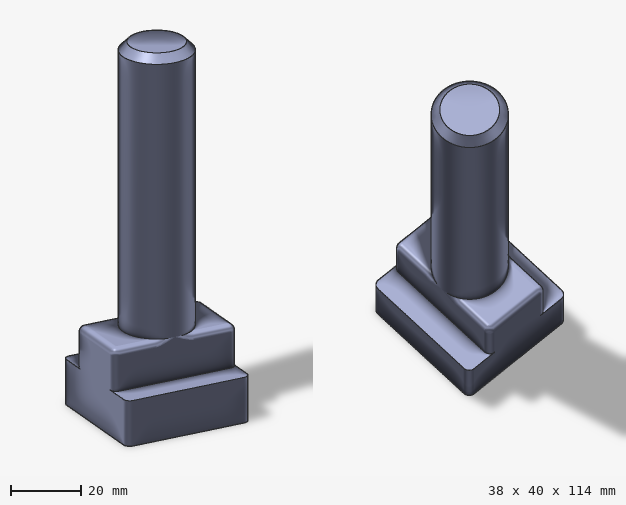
import cadquery as cq
import math

total_height = 114.0
head_width = 38.0
head_length = 40.0

flange_height = 14.0
head_height = 27.0
edge_radius = 2.0

shank_diameter = 22.0
shank_chamfer = 2.5
shank_radius = shank_diameter / 2
neck_width = shank_diameter

runout_end = math.sqrt(shank_radius**2 - (shank_radius - edge_radius) ** 2)
runout_sections = 8


def make_flange():
    """Wide lower step with rounded vertical corners."""
    flange = cq.Workplane("XY").rect(head_width, head_length).extrude(flange_height)
    return flange.edges("|Z").fillet(edge_radius)


def round_drop(y):
    """Height of the run-out's lower edge below the neck top at lengthwise position y.

    A ball of edge_radius rolls along the neck wall while touching the foot circle of the shank.
    """
    gap = shank_radius - math.sqrt(shank_radius**2 - y**2)
    return math.sqrt(max(0.0, edge_radius**2 - (edge_radius - gap) ** 2))


def make_runout_cutter():
    """Material outside the rounded edge from the shank's widest point to the run-out end."""
    wall_x = neck_width / 2
    outer_x = wall_x + edge_radius
    inner_x = wall_x - edge_radius
    sections = []
    for i in range(runout_sections + 1):
        y = runout_end * i / runout_sections
        low_z = head_height - round_drop(y)
        high_z = low_z + edge_radius
        cap_z = high_z + edge_radius
        start = cq.Vector(wall_x, y, low_z)
        middle = cq.Vector(
            inner_x + edge_radius * math.cos(math.pi / 4), y, low_z + edge_radius * math.sin(math.pi / 4)
        )
        end = cq.Vector(inner_x, y, high_z)
        arc = cq.Edge.makeThreePointArc(start, middle, end)
        cap_points = [
            end,
            cq.Vector(inner_x, y, cap_z),
            cq.Vector(outer_x, y, cap_z),
            cq.Vector(outer_x, y, low_z),
            start,
        ]
        lines = [cq.Edge.makeLine(a, b) for a, b in zip(cap_points, cap_points[1:])]
        sections.append(cq.Wire.assembleEdges([arc] + lines))
    return cq.Workplane(obj=cq.Solid.makeLoft(sections))


def make_neck():
    """Narrow upper step whose long rounded edges run out beside the shank."""
    neck = cq.Workplane("XY").rect(neck_width, head_length).extrude(head_height)
    neck = neck.edges("|Z or >Z").fillet(edge_radius)
    middle = cq.Workplane("XY").rect(neck_width, 2 * runout_end).extrude(head_height)
    cutter = make_runout_cutter()
    for half in (cutter, cutter.mirror("XZ")):
        middle = middle.cut(half).cut(half.mirror("YZ"))
    return neck.union(middle)


def make_shank():
    """Round shank running down through the neck, chamfered at its free end."""
    shank = cq.Workplane("XY").workplane(offset=flange_height)
    shank = shank.circle(shank_radius).extrude(total_height - flange_height)
    return shank.faces(">Z").chamfer(shank_chamfer)


result = make_flange().union(make_neck()).union(make_shank())